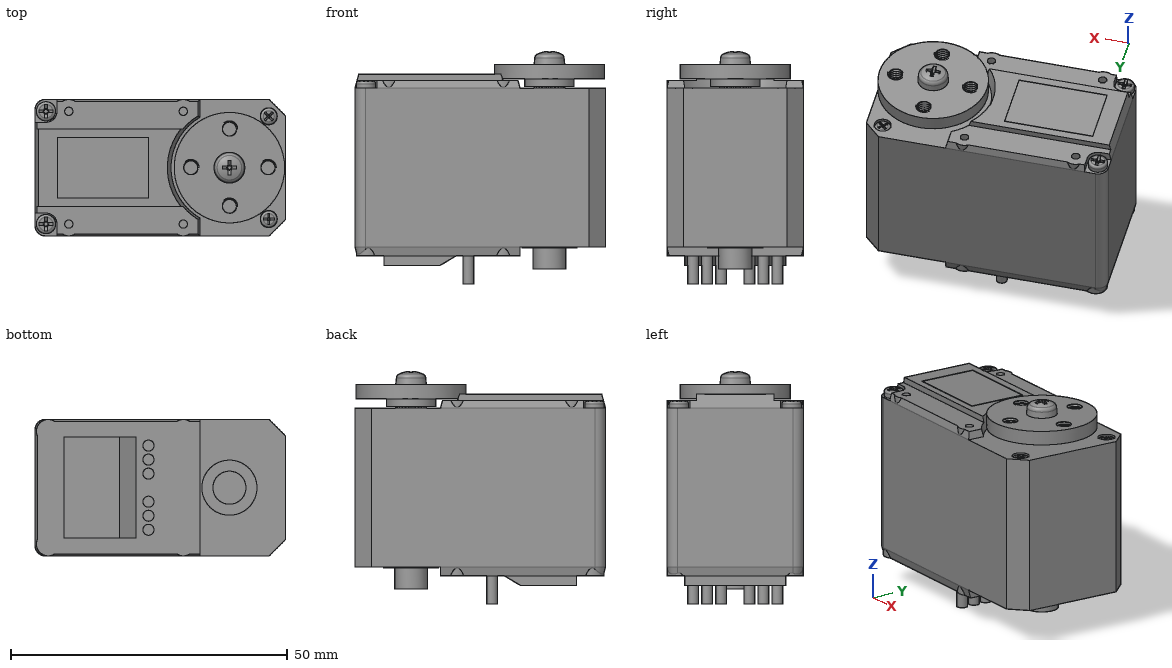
import cadquery as cq
import math


CASE_LENGTH = 45.4
CASE_WIDTH = 24.8
CASE_HEIGHT = 28.85
REAR_ROUND = 1.9
FRONT_CHAMFER = 3.0
DRAFT_ANGLE = 15.0

AXIS_X = 35.25

PLATE_END_X = 29.9
PLATE_HEIGHT = 1.4
RAISED_HEIGHT = 2.5
RAISED_WIDTH = 14.07
HORN_CLEARANCE_RADIUS = 10.6
LABEL_CENTER_X = 12.35
LABEL_LENGTH = 16.45
LABEL_WIDTH = 11.0
LABEL_DEPTH = 0.1

HOLE_DIAMETER = 1.5
HOLE_Y = 10.2
HOLE_REAR_X = 6.15
HOLE_FRONT_X = 26.88
BOSS_RADIUS = 2.15

COVER_HEIGHT = 1.6
COVER_REAR_BOSS_X = 2.4
BLOCK_REAR_X = 5.2
BLOCK_FRONT_X = 15.35
BLOCK_SLOPE_END_X = 18.35
BLOCK_WIDTH = 18.3
BLOCK_HEIGHT = 1.75
WIRE_X = 20.55
WIRE_DIAMETER = 2.0
WIRE_LENGTH = 5.1
WIRE_PITCH = 2.55
WIRES_PER_SIDE = 3

AXLE_DIAMETER = 6.0
AXLE_LENGTH = 4.0
AXLE_COLLAR_DIAMETER = 10.0
AXLE_COLLAR_HEIGHT = 0.15

HORN_DIAMETER = 20.0
HORN_BOTTOM_Z = 30.5
HORN_TOP_Z = 33.1
HORN_COLLAR_DIAMETER = 9.0
HORN_COLLAR_BOTTOM_Z = 29.1
HORN_HOLE_RADIUS_FROM_AXIS = 7.0
THREAD_MINOR_DIAMETER = 2.5
THREAD_MAJOR_DIAMETER = 3.0
THREAD_PITCH = 0.5
THREAD_TURNS = 6
GROOVE_MOUTH_WIDTH = 0.45
GROOVE_OVERLAP = 0.023

SHAFT_DIAMETER = 5.7
SPLINE_ROOT_DIAMETER = 5.25
SPLINE_TEETH = 25

HORN_SCREW_BASE_DIAMETER = 5.6
HORN_SCREW_SHOULDER_DIAMETER = 5.35
HORN_SCREW_SHOULDER_HEIGHT = 1.15
HORN_SCREW_EDGE_RADIUS = 0.85
HORN_SCREW_DOME_DIAMETER = 4.45
HORN_SCREW_DOME_HEIGHT = 1.85
HORN_SCREW_HEIGHT = 2.4
HORN_SCREW_SLOT_LENGTH = 2.9
HORN_SCREW_SLOT_WIDTH = 0.55
HORN_SCREW_SLOT_DEPTH = 1.35

SLOT_POINT_TO_WIDTH = 2.0
SLOT_POINT_TAPER = 10.0

CASE_SCREW_HEIGHT = 1.25
CASE_SCREW_ROUND = 0.5
CASE_SCREW_SLOT_DEPTH = 0.9
REAR_SCREW_DIAMETER = 3.5
REAR_SCREW_SLOT_WIDTH = 0.5
REAR_SCREW_X = 2.0
REAR_SCREW_POCKET_RADIUS = 2.0
FRONT_SCREW_DIAMETER = 3.0
FRONT_SCREW_SLOT_WIDTH = 0.3
FRONT_SCREW_X = 42.35
FRONT_SCREW_Y = 9.3
FRONT_SCREW_BORE_DIAMETER = 3.1
FRONT_SCREW_BORE_DEPTH = 1.4

RAISED_TOP_Z = CASE_HEIGHT + RAISED_HEIGHT
PLATE_TOP_Z = CASE_HEIGHT + PLATE_HEIGHT


def cylinder(x, y, bottom, top, diameter):
    """Vertical cylinder between two heights."""
    return cq.Workplane("XY", origin=(x, y, bottom)).circle(diameter / 2).extrude(top - bottom)


def box(x_min, x_max, y_min, y_max, z_min, z_max):
    """Box between two corners."""
    return cq.Workplane("XY").box(
        x_max - x_min, y_max - y_min, z_max - z_min, centered=False
    ).translate((x_min, y_min, z_min))



def case_block():
    """Block with rounded rear edges and chamfered front edges."""
    block = box(0, CASE_LENGTH, -CASE_WIDTH / 2, CASE_WIDTH / 2, 0, CASE_HEIGHT)
    block = block.edges("|Z and <X").fillet(REAR_ROUND)
    return block.edges("|Z and >X").chamfer(FRONT_CHAMFER)


def rear_screw_pocket(side):
    """Open corner pocket around a rear screw, rounded about the screw."""
    reach_x = REAR_SCREW_X + REAR_SCREW_POCKET_RADIUS
    inner_y = HOLE_Y - REAR_SCREW_POCKET_RADIUS
    pocket = box(0, reach_x, inner_y, CASE_WIDTH / 2, CASE_HEIGHT, RAISED_TOP_Z)
    pocket = pocket.edges("|Z and >X and <Y").fillet(REAR_SCREW_POCKET_RADIUS)
    return pocket if side > 0 else pocket.mirror("XZ")


def top_plate():
    """Drafted plate on the case, with a raised middle and a round clearance for the horn."""
    plate = (
        cq.Workplane("XY", origin=(PLATE_END_X / 2, 0, CASE_HEIGHT))
        .rect(PLATE_END_X, CASE_WIDTH)
        .extrude(RAISED_HEIGHT, taper=DRAFT_ANGLE)
    )
    for side in (-1, 1):
        inner = side * RAISED_WIDTH / 2
        outer = side * CASE_WIDTH / 2
        plate = plate.cut(
            box(0, PLATE_END_X, min(inner, outer), max(inner, outer), PLATE_TOP_Z, RAISED_TOP_Z)
        )
        for hole_x in (HOLE_REAR_X, HOLE_FRONT_X):
            plate = plate.union(
                cylinder(hole_x, side * HOLE_Y, CASE_HEIGHT, PLATE_TOP_Z, 2 * BOSS_RADIUS)
            )
            plate = plate.cut(
                cylinder(hole_x, side * HOLE_Y, CASE_HEIGHT, PLATE_TOP_Z, HOLE_DIAMETER)
            )
        plate = plate.cut(rear_screw_pocket(side))
    clearance = (
        cq.Workplane("XY", origin=(AXIS_X, 0, CASE_HEIGHT))
        .circle(HORN_CLEARANCE_RADIUS)
        .extrude(RAISED_HEIGHT, taper=-DRAFT_ANGLE)
    )
    label = (
        cq.Workplane("XY", origin=(LABEL_CENTER_X, 0, RAISED_TOP_Z))
        .rect(LABEL_LENGTH, LABEL_WIDTH)
        .extrude(-LABEL_DEPTH)
    )
    return plate.cut(clearance).cut(label)


def bottom_cover():
    """Cover with drafted rear and sides, an upright front end and round bosses."""
    outline = (
        cq.Sketch()
        .push([(CASE_LENGTH / 2, 0)])
        .rect(CASE_LENGTH, CASE_WIDTH)
        .reset()
        .vertices("<X")
        .fillet(REAR_ROUND)
    )
    cover = cq.Workplane("XY").placeSketch(outline).extrude(-COVER_HEIGHT, taper=DRAFT_ANGLE)
    cover = cover.intersect(
        box(0, PLATE_END_X, -CASE_WIDTH / 2, CASE_WIDTH / 2, -COVER_HEIGHT, 0)
    )
    for side in (-1, 1):
        for boss_x in (COVER_REAR_BOSS_X, HOLE_FRONT_X):
            cover = cover.union(cylinder(boss_x, side * HOLE_Y, -COVER_HEIGHT, 0, 2 * BOSS_RADIUS))
    return cover


def cable_block():
    """Block under the cover whose front end slopes up to it."""
    bottom = -COVER_HEIGHT - BLOCK_HEIGHT
    return (
        cq.Workplane("XZ", origin=(0, BLOCK_WIDTH / 2, 0))
        .moveTo(BLOCK_REAR_X, -COVER_HEIGHT)
        .lineTo(BLOCK_REAR_X, bottom)
        .lineTo(BLOCK_FRONT_X, bottom)
        .lineTo(BLOCK_SLOPE_END_X, -COVER_HEIGHT)
        .close()
        .extrude(BLOCK_WIDTH)
    )


def make_housing():
    """Case with top plate, bottom cover, cable block, wires and rear axle."""
    housing = case_block().union(top_plate()).union(bottom_cover()).union(cable_block())
    for side in (-1, 1):
        for count in range(1, WIRES_PER_SIDE + 1):
            wire_y = side * count * WIRE_PITCH
            wire_bottom = -COVER_HEIGHT - WIRE_LENGTH
            housing = housing.union(cylinder(WIRE_X, wire_y, wire_bottom, 0, WIRE_DIAMETER))
        housing = housing.cut(
            cylinder(
                FRONT_SCREW_X,
                side * FRONT_SCREW_Y,
                CASE_HEIGHT - FRONT_SCREW_BORE_DEPTH,
                CASE_HEIGHT,
                FRONT_SCREW_BORE_DIAMETER,
            )
        )
    housing = housing.union(cylinder(AXIS_X, 0, -AXLE_COLLAR_HEIGHT, 0, AXLE_COLLAR_DIAMETER))
    return housing.union(cylinder(AXIS_X, 0, -AXLE_LENGTH, 0, AXLE_DIAMETER))



def spline(bottom, top):
    """Prism on the output axis with pointed teeth around it."""
    points = []
    for step in range(2 * SPLINE_TEETH):
        diameter = SHAFT_DIAMETER if step % 2 == 0 else SPLINE_ROOT_DIAMETER
        angle = step * math.pi / SPLINE_TEETH
        points.append((diameter / 2 * math.cos(angle), diameter / 2 * math.sin(angle)))
    return cq.Workplane("XY", origin=(AXIS_X, 0, bottom)).polyline(points).close().extrude(top - bottom)


def make_shaft():
    """Splined output shaft from the top of the case into the horn collar."""
    return spline(CASE_HEIGHT, HORN_BOTTOM_Z)


def thread_groove():
    """Helical V groove around the z axis that ends at z = 0; its open side reaches into the hole."""
    mouth_radius = THREAD_MINOR_DIAMETER / 2
    root_radius = THREAD_MAJOR_DIAMETER / 2
    inner_radius = mouth_radius - GROOVE_OVERLAP
    mouth_half_width = GROOVE_MOUTH_WIDTH / 2
    flank_slope = mouth_half_width / (root_radius - mouth_radius)
    inner_half_width = flank_slope * (root_radius - inner_radius)
    height = THREAD_TURNS * THREAD_PITCH
    helix = cq.Wire.makeHelix(THREAD_PITCH, height, mouth_radius, lefthand=True)
    groove = (
        cq.Workplane("XZ")
        .moveTo(inner_radius, -inner_half_width)
        .lineTo(root_radius, 0)
        .lineTo(inner_radius, inner_half_width)
        .close()
        .sweep(cq.Workplane(obj=helix), isFrenet=True)
    )
    return groove.translate((0, 0, -height))


def make_horn():
    """Disc with a collar, a splined bore for the shaft and four threaded holes."""
    horn = cylinder(AXIS_X, 0, HORN_BOTTOM_Z, HORN_TOP_Z, HORN_DIAMETER)
    horn = horn.union(
        cylinder(AXIS_X, 0, HORN_COLLAR_BOTTOM_Z, HORN_BOTTOM_Z, HORN_COLLAR_DIAMETER)
    )
    horn = horn.cut(spline(HORN_COLLAR_BOTTOM_Z, HORN_BOTTOM_Z))
    groove = thread_groove()
    for quarter in range(4):
        angle = quarter * math.pi / 2
        hole_x = AXIS_X + HORN_HOLE_RADIUS_FROM_AXIS * math.cos(angle)
        hole_y = HORN_HOLE_RADIUS_FROM_AXIS * math.sin(angle)
        horn = horn.cut(cylinder(hole_x, hole_y, HORN_BOTTOM_Z, HORN_TOP_Z, THREAD_MINOR_DIAMETER))
        horn = horn.cut(groove.translate((hole_x, hole_y, HORN_TOP_Z)))
    return horn



def cross_slot(length, width, depth):
    """Cross recess below z = 0: arms that slope down to a square floor, and a tapered center."""
    arm = (
        cq.Workplane("XZ", origin=(0, width / 2, 0))
        .moveTo(-length / 2, 0)
        .lineTo(-width / 2, -depth)
        .lineTo(width / 2, -depth)
        .lineTo(length / 2, 0)
        .close()
        .extrude(width)
    )
    point_side = SLOT_POINT_TO_WIDTH * width
    point = (
        cq.Workplane("XY")
        .rect(point_side, point_side)
        .extrude(-depth, taper=SLOT_POINT_TAPER)
        .rotate((0, 0, 0), (0, 0, 1), 45)
    )
    return arm.union(arm.rotate((0, 0, 0), (0, 0, 1), 90)).union(point)


def make_horn_screw():
    """Domed head on the horn with a cross recess."""
    shoulder = HORN_SCREW_SHOULDER_DIAMETER / 2
    dome = HORN_SCREW_DOME_DIAMETER / 2
    dome_rise = HORN_SCREW_HEIGHT - HORN_SCREW_DOME_HEIGHT
    dome_radius = (dome**2 + dome_rise**2) / (2 * dome_rise)
    head = (
        cq.Workplane("XZ")
        .lineTo(HORN_SCREW_BASE_DIAMETER / 2, 0)
        .lineTo(shoulder, HORN_SCREW_SHOULDER_HEIGHT)
        .radiusArc((dome, HORN_SCREW_DOME_HEIGHT), -HORN_SCREW_EDGE_RADIUS)
        .radiusArc((0, HORN_SCREW_HEIGHT), -dome_radius)
        .close()
        .revolve(360, (0, 0, 0), (0, 1, 0))
    )
    slot = cross_slot(HORN_SCREW_SLOT_LENGTH, HORN_SCREW_SLOT_WIDTH, HORN_SCREW_SLOT_DEPTH)
    head = head.cut(slot.translate((0, 0, HORN_SCREW_HEIGHT)))
    return head.translate((AXIS_X, 0, HORN_TOP_Z))


def make_case_screw(x, y, seat, diameter, slot_width, turn):
    """Round-edged screw head on its seat, with the cross recess turned by an angle."""
    head = cylinder(0, 0, 0, CASE_SCREW_HEIGHT, diameter).faces(">Z").edges().fillet(CASE_SCREW_ROUND)
    slot = cross_slot(diameter - 2 * CASE_SCREW_ROUND, slot_width, CASE_SCREW_SLOT_DEPTH)
    head = head.cut(slot.translate((0, 0, CASE_SCREW_HEIGHT)))
    return head.rotate((0, 0, 0), (0, 0, 1), turn).translate((x, y, seat))


housing = make_housing()
shaft = make_shaft()
horn = make_horn()
horn_screw = make_horn_screw()

case_screws = []
for side, front_turn in ((-1, 0), (1, 45)):
    case_screws.append(
        make_case_screw(
            REAR_SCREW_X, side * HOLE_Y, CASE_HEIGHT, REAR_SCREW_DIAMETER, REAR_SCREW_SLOT_WIDTH, 0
        )
    )
    case_screws.append(
        make_case_screw(
            FRONT_SCREW_X,
            side * FRONT_SCREW_Y,
            CASE_HEIGHT - FRONT_SCREW_BORE_DEPTH,
            FRONT_SCREW_DIAMETER,
            FRONT_SCREW_SLOT_WIDTH,
            front_turn,
        )
    )

result = cq.Compound.makeCompound(
    [housing.val(), shaft.val(), horn.val(), horn_screw.val()]
    + [screw.val() for screw in case_screws]
)